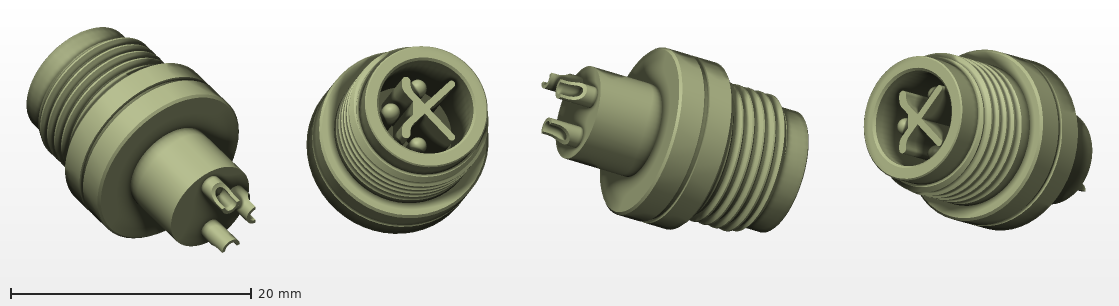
import cadquery as cq
import math


length = 22.0

nose_radius = 5.25
nose_length = 2.2
nose_chamfer = 0.1
bore_radius = 4.05
mouth_chamfer = 0.2
flange_radius = 14.5 / 2
flange_start = 8.18
flange_width = 5.04
flange_chamfer = 0.2
flange_groove_width = 0.5
flange_groove_depth = 0.3

crest_radius = 6.0
root_radius = 5.5
groove_turns = 6
groove_travel = 6.0
groove_end = 7.41
root_flat = 0.26
thread_chamfer = 0.53
flank_angle = 30.0
cutter_overlap = 0.05

insert_tail_radius = 4.0
insert_end = 19.0
key_face = 0.7
key_arm_width = 0.6
key_arm_reach = 2.3
key_hook_width = 0.73
key_hook_offset = 1.58
key_web_offset = 1.0
key_inner_bend = 1.17
key_outer_bend = 1.0

side_pin_angle = 0
upper_pin_angle = 90
lower_pin_angle = -90
pin_offset = 2.5
side_pin_tip = 1.58
deep_pin_tip = 2.5
pin_radius = 0.75
tail_radius = 0.9
cup_radius = 0.6
cup_length = 2.02
cup_flat = 0.53

flange_end = flange_start + flange_width
floor = flange_start
pin_tips = {
    side_pin_angle: side_pin_tip,
    upper_pin_angle: deep_pin_tip,
    lower_pin_angle: deep_pin_tip,
}


def cylinder(radius, start, end):
    """Solid cylinder on the X axis between two X positions."""
    return cq.Workplane("YZ", origin=(start, 0, 0)).circle(radius).extrude(end - start)


def thread_groove():
    """Trapezoidal groove swept along a right-handed helix about X."""
    pitch = groove_travel / groove_turns
    slope = math.tan(math.radians(flank_angle))
    outer_radius = crest_radius + cutter_overlap
    half_root = root_flat / 2
    half_top = half_root + (outer_radius - root_radius) * slope
    helix = cq.Workplane("XY").add(cq.Wire.makeHelix(pitch, groove_travel, root_radius))
    groove = (
        cq.Workplane("XZ")
        .polyline([
            (root_radius, -half_root),
            (outer_radius, -half_top),
            (outer_radius, half_top),
            (root_radius, half_root),
        ])
        .close()
        .sweep(helix, isFrenet=True)
    )
    groove = groove.rotate((0, 0, 0), (0, 1, 0), 90)
    groove = groove.rotate((0, 0, 0), (1, 0, 0), 180)
    return groove.translate((groove_end - groove_travel, 0, 0))


def flange():
    """Chamfered flange with a narrow groove around the middle of its rim."""
    middle = (flange_start + flange_end) / 2
    groove_start = middle - flange_groove_width / 2
    groove_stop = middle + flange_groove_width / 2
    rim_groove = cylinder(flange_radius, groove_start, groove_stop).cut(
        cylinder(flange_radius - flange_groove_depth, groove_start, groove_stop)
    )
    return cylinder(flange_radius, flange_start, flange_end).edges().chamfer(flange_chamfer).cut(rim_groove)


def make_housing():
    nose = cylinder(nose_radius, 0, nose_length).faces("<X").edges().chamfer(nose_chamfer)
    shank = cylinder(crest_radius, nose_length, flange_start).faces("<X").edges().chamfer(thread_chamfer)
    shank = shank.cut(thread_groove())
    bore = cylinder(bore_radius, 0, flange_end)
    body = nose.union(shank).union(flange()).cut(bore)
    return body.faces("<X").edges(cq.selectors.RadiusNthSelector(0)).chamfer(mouth_chamfer)


def key_profile():
    """Start of a key feature on the plane of the key's front face."""
    return cq.Workplane("YZ", origin=(key_face, 0, 0))


def key_arm(side):
    """Straight diagonal arm from the axis toward -Y; side is +1 for up, -1 for down."""
    run = key_arm_reach * math.sqrt(2)
    middle = key_arm_reach / 2
    return (
        key_profile()
        .center(-middle, side * middle)
        .slot2D(run + key_arm_width, key_arm_width, -45 * side)
        .extrude(floor - key_face)
    )


def key_hook():
    """Upper hooked arm on the +Y side: a diagonal that bends upright, with its half of the web."""
    rise = key_arm_width / math.sqrt(2)
    near = key_hook_offset - key_hook_width / 2
    far = key_hook_offset + key_hook_width / 2
    depth = floor - key_face
    hook = (
        key_profile()
        .polyline([
            (0, 0),
            (0, rise),
            (near, near + rise),
            (near, key_arm_reach),
            (far, key_arm_reach),
            (far, far - rise),
            (key_web_offset, key_web_offset - rise),
            (key_web_offset, 0),
        ])
        .close()
        .extrude(depth)
    )
    middle = (key_face + floor) / 2
    inner_corner = cq.selectors.NearestToPointSelector((middle, near, near + rise))
    outer_corner = cq.selectors.NearestToPointSelector((middle, far, far - rise))
    hook = hook.edges(inner_corner).fillet(key_inner_bend)
    hook = hook.edges(outer_corner).fillet(key_outer_bend)
    tip = key_profile().center(key_hook_offset, key_arm_reach).circle(key_hook_width / 2).extrude(depth)
    return hook.union(tip)


def make_insert():
    hook = key_hook()
    key = key_arm(1).union(key_arm(-1)).union(hook).union(hook.mirror("XY"))
    seat = cylinder(bore_radius, floor, flange_end)
    tail = cylinder(insert_tail_radius, flange_end, insert_end)
    body = seat.union(tail).union(key)
    for angle in pin_tips:
        body = body.cut(place_at_pin(cylinder(pin_radius, floor, insert_end), angle))
    return body


def place_at_pin(shape, angle):
    """Move a shape from the X axis to the pin position at an angle about X, measured from +Y."""
    return shape.translate((0, pin_offset, 0)).rotate((0, 0, 0), (1, 0, 0), angle)


def cup_opening():
    """Cut that removes the outer half of the tail: a flat at mid height, then an arc up to its top."""
    start = length - cup_length
    flat_start = length - cup_flat
    arc_run = flat_start - start
    arc_radius = (arc_run**2 + tail_radius**2) / (2 * tail_radius)
    half_angle = math.asin(arc_run / arc_radius) / 2
    arc_middle = (
        flat_start - arc_radius * math.sin(half_angle),
        arc_radius * (1 - math.cos(half_angle)),
    )
    return (
        cq.Workplane("XY")
        .moveTo(length, 0)
        .lineTo(flat_start, 0)
        .threePointArc(arc_middle, (start, tail_radius))
        .lineTo(length, tail_radius)
        .close()
        .extrude(tail_radius, both=True)
    )


def make_pin(angle, tip):
    """Round-nosed contact pin whose thicker tail ends in a solder cup open away from the axis."""
    contact = cylinder(pin_radius, tip + pin_radius, insert_end)
    nose = cq.Workplane("XY", origin=(tip + pin_radius, 0, 0)).sphere(pin_radius)
    tail = cylinder(tail_radius, insert_end, length)
    cup_bore = cylinder(cup_radius, length - cup_length, length)
    pin = contact.union(nose).union(tail).cut(cup_bore).cut(cup_opening())
    return place_at_pin(pin, angle)


housing = make_housing()
insert = make_insert()
pins = [make_pin(angle, tip) for angle, tip in pin_tips.items()]

result = cq.Compound.makeCompound([housing.val(), insert.val(), *[pin.val() for pin in pins]])